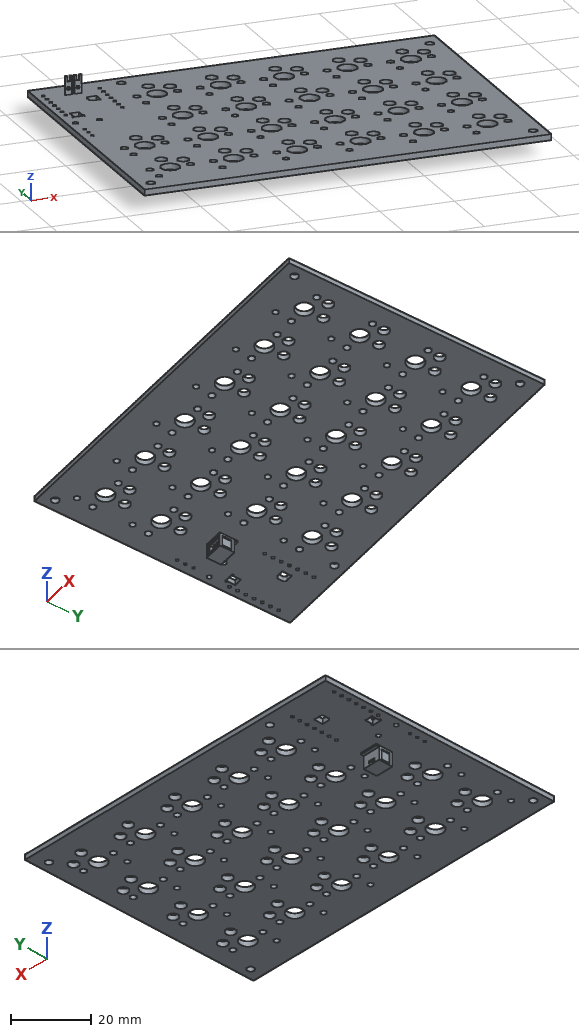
import cadquery as cq

BOARD_LENGTH = 109.0
BOARD_WIDTH = 78.0
BOARD_THICKNESS = 1.6

KEY_PITCH = 17.0
KEY_COLUMNS = 6
KEY_ROWS = 4
FIRST_KEY_X = -42.4
FIRST_KEY_Y = -25.9
SHORT_COLUMN_KEYS = 2

STEM_DIAMETER = 5.0
PEG_DIAMETER = 1.9
PEG_OFFSET = 5.5
SOCKET_DIAMETER = 3.0
SOCKET_OFFSETS = [(0, 5.9), (5.0, 3.8)]
LATCH_DIAMETER = 1.6
LATCH_OFFSET = (-5.0, -5.1)

MOUNT_DIAMETER = 2.2
MOUNT_POSITIONS = [(-30.7, 35.6), (51.2, 33.9), (-51.2, -35.0), (51.2, -35.0)]

PIN_PITCH = 2.5
CONTROLLER_PINS = 7
CONTROLLER_DIAMETER = 0.82
CONTROLLER_COLUMNS = [-52.3, -37.2]
CONTROLLER_CENTER_Y = 26.5
SWITCH_PINS = 3
SWITCH_DIAMETER = 0.7
SWITCH_X = -51.8
SWITCH_CENTER_Y = 5.1
LEAD_DIAMETER = 1.3
LEAD_POSITIONS = [(-52.2, 12.8), (-45.8, 12.8)]

ROUND_WINDOW_SIZE = 2.8
ROUND_WINDOW_RADIUS = 0.8
ROUND_WINDOW_CENTER = (-41.4, 27.8)
EARED_WINDOW_WIDTH = 2.4
EARED_WINDOW_HEIGHT = 2.8
EARED_WINDOW_CENTER = (-49.7, 18.3)
EAR_WIDTH = 3.2
EAR_HEIGHT = 0.4

BLADE_WIDTH = 1.9
BLADE_THICKNESS = 0.4
BLADE_HEIGHT = 4.9
BLADE_Y = 32.7
FIRST_BLADE_X = -46.1
BLADE_COUNT = 2
BLADE_SLOT_WIDTH = 0.7
BLADE_SLOT_DEPTH = 1.4
BLADE_HOLE_DIAMETER = 0.8
BLADE_HOLE_HEIGHT = 1.6

SHELL_WIDTH = 5.7
SHELL_DEPTH = 4.5
SHELL_HEIGHT = 4.4
SHELL_X = -40.0
SHELL_BACK_Y = 9.7
TAB_LENGTH = 1.0
TAB_THICKNESS = 0.4
CAVITY_WIDTH = 3.9
CAVITY_HEIGHT = 2.4
CAVITY_TOP = -0.9
CAVITY_DEPTH = 3.6
MOUTH_MARGIN = 0.3
MOUTH_DEPTH = 0.3
SLIT_WIDTH = 2.0
SLIT_HEIGHT = 0.7
SLIT_TOP = -2.9
CONTACT_SIZE = 0.7
CONTACT_PITCH = 1.2
CONTACT_LENGTH = 2.8
CONTACT_Z = -1.6
RECESS_LENGTH = 2.8
RECESS_DEPTH = 0.3
RECESS_HEIGHT = 3.0
RECESS_TOP = -0.8


def box_at(x, y, z, length, width, height):
    """Box centred on X and Y, with its lowest face at Z."""
    return cq.Workplane("XY").box(length, width, height, centered=(True, True, False)).translate((x, y, z))


def drill(body, positions, diameter):
    """Cut round holes right through the board."""
    drills = (
        cq.Workplane("XY")
        .pushPoints(positions)
        .circle(diameter / 2)
        .extrude(BOARD_THICKNESS)
    )
    return body.cut(drills)


def key_centers():
    centers = []
    for column in range(KEY_COLUMNS):
        rows = SHORT_COLUMN_KEYS if column == 0 else KEY_ROWS
        for row in range(rows):
            centers.append((FIRST_KEY_X + column * KEY_PITCH, FIRST_KEY_Y + row * KEY_PITCH))
    return centers


def at_each_key(offset):
    return [(x + offset[0], y + offset[1]) for x, y in key_centers()]


def pin_row(x, center_y, count):
    """Points of a straight row of pins along Y."""
    first_y = center_y - (count - 1) * PIN_PITCH / 2
    return [(x, first_y + i * PIN_PITCH) for i in range(count)]


def round_window():
    """Square window with its two -X corners rounded."""
    window = box_at(*ROUND_WINDOW_CENTER, 0, ROUND_WINDOW_SIZE, ROUND_WINDOW_SIZE, BOARD_THICKNESS)
    return window.edges("|Z and <X").fillet(ROUND_WINDOW_RADIUS)


def eared_window():
    """Rectangular window with a small ear at each -Y corner."""
    x, y = EARED_WINDOW_CENTER
    window = box_at(x, y, 0, EARED_WINDOW_WIDTH, EARED_WINDOW_HEIGHT, BOARD_THICKNESS)
    ear_y = y - EARED_WINDOW_HEIGHT / 2 + EAR_HEIGHT / 2
    return window.union(box_at(x, ear_y, 0, EAR_WIDTH, EAR_HEIGHT, BOARD_THICKNESS))


def make_board():
    board = box_at(0, 0, 0, BOARD_LENGTH, BOARD_WIDTH, BOARD_THICKNESS)

    board = drill(board, key_centers(), STEM_DIAMETER)
    for side in (-1, 1):
        board = drill(board, at_each_key((side * PEG_OFFSET, 0)), PEG_DIAMETER)
    for offset in SOCKET_OFFSETS:
        board = drill(board, at_each_key(offset), SOCKET_DIAMETER)
    board = drill(board, at_each_key(LATCH_OFFSET), LATCH_DIAMETER)

    board = drill(board, MOUNT_POSITIONS, MOUNT_DIAMETER)
    for x in CONTROLLER_COLUMNS:
        board = drill(board, pin_row(x, CONTROLLER_CENTER_Y, CONTROLLER_PINS), CONTROLLER_DIAMETER)
    board = drill(board, pin_row(SWITCH_X, SWITCH_CENTER_Y, SWITCH_PINS), SWITCH_DIAMETER)
    board = drill(board, LEAD_POSITIONS, LEAD_DIAMETER)

    return board.cut(round_window()).cut(eared_window())


def make_blade(x):
    """Flat upright blade with a square slot at its tip and a hole below it."""
    blade = box_at(x, BLADE_Y, BOARD_THICKNESS, BLADE_WIDTH, BLADE_THICKNESS, BLADE_HEIGHT)
    tip_z = BOARD_THICKNESS + BLADE_HEIGHT
    slot_z = tip_z - BLADE_SLOT_DEPTH
    slot = box_at(x, BLADE_Y, slot_z, BLADE_SLOT_WIDTH, BLADE_THICKNESS, BLADE_SLOT_DEPTH)
    hole = (
        cq.Workplane("XZ", origin=(x, BLADE_Y, BOARD_THICKNESS + BLADE_HOLE_HEIGHT))
        .circle(BLADE_HOLE_DIAMETER / 2)
        .extrude(BLADE_THICKNESS, both=True)
    )
    return blade.cut(slot).cut(hole)


def make_connector():
    center_y = SHELL_BACK_Y - SHELL_DEPTH / 2
    front_y = SHELL_BACK_Y - SHELL_DEPTH
    shell = box_at(SHELL_X, center_y, -SHELL_HEIGHT, SHELL_WIDTH, SHELL_DEPTH, SHELL_HEIGHT)

    tab_y = SHELL_BACK_Y + TAB_LENGTH / 2
    shell = shell.union(box_at(SHELL_X, tab_y, -TAB_THICKNESS, SHELL_WIDTH, TAB_LENGTH, TAB_THICKNESS))

    cavity_y = front_y + CAVITY_DEPTH / 2
    cavity_floor = CAVITY_TOP - CAVITY_HEIGHT
    shell = shell.cut(box_at(SHELL_X, cavity_y, cavity_floor, CAVITY_WIDTH, CAVITY_DEPTH, CAVITY_HEIGHT))
    mouth_y = front_y + MOUTH_DEPTH / 2
    mouth_floor = cavity_floor - MOUTH_MARGIN
    mouth_width = CAVITY_WIDTH + 2 * MOUTH_MARGIN
    mouth_height = CAVITY_HEIGHT + 2 * MOUTH_MARGIN
    shell = shell.cut(box_at(SHELL_X, mouth_y, mouth_floor, mouth_width, MOUTH_DEPTH, mouth_height))

    shell = shell.cut(
        box_at(SHELL_X, center_y, SLIT_TOP - SLIT_HEIGHT, SLIT_WIDTH, SHELL_DEPTH, SLIT_HEIGHT)
    )

    for side in (-1, 1):
        recess_x = SHELL_X + side * (SHELL_WIDTH - RECESS_DEPTH) / 2
        shell = shell.cut(
            box_at(recess_x, center_y, RECESS_TOP - RECESS_HEIGHT, RECESS_DEPTH, RECESS_LENGTH, RECESS_HEIGHT)
        )

    contact_y = front_y + CAVITY_DEPTH - CONTACT_LENGTH / 2
    for side in (-1, 1):
        contact_x = SHELL_X + side * CONTACT_PITCH / 2
        contact_bottom = CONTACT_Z - CONTACT_SIZE / 2
        shell = shell.union(
            box_at(contact_x, contact_y, contact_bottom, CONTACT_SIZE, CONTACT_LENGTH, CONTACT_SIZE)
        )
    return shell


board = make_board()
blades = [make_blade(FIRST_BLADE_X + i * PIN_PITCH) for i in range(BLADE_COUNT)]
connector = make_connector()

result = cq.Compound.makeCompound([board.val(), *[blade.val() for blade in blades], connector.val()])